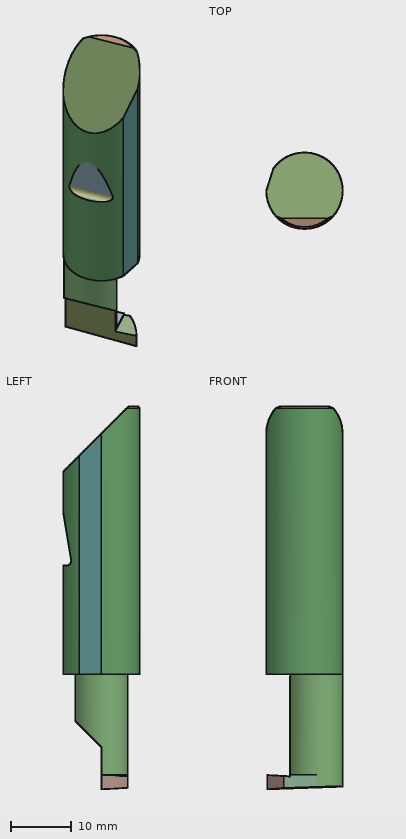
import cadquery as cq
import math

shank_diameter = 12.7
shank_radius = shank_diameter / 2
overall_length = 63.5
shank_bottom_z = 19.05

slope_start_y = -4.53
end_chamfer_size = 0.35

side_flat_end_y = 3.66

notch_bottom_z = 37.1
notch_depth = 1.45
notch_angle = 9.5
notch_corner_radius = 0.75

neck_radius = 4.38
neck_center_x = shank_radius - neck_radius

rake_face_y = 0.0
runout_start_z = 6.95

head_tip_x = -6.2
head_front_corner_x = -3.46
head_top_z = 2.4
head_nose_radius = 12.0
head_step_x = neck_center_x - neck_radius
head_front_y = -neck_radius
bottom_relief_angle = 2.0
top_back_angle = 3.2
top_side_angle = 0.8

overshoot = 5.0


def make_shank():
    shank_length = overall_length - shank_bottom_z
    shank = cq.Workplane("XY", origin=(0, 0, shank_bottom_z)).circle(shank_radius).extrude(shank_length)
    return shank.cut(make_end_chamfer()).cut(make_end_slope()).cut(make_side_flat()).cut(make_notch())


def make_end_chamfer():
    """Ring that bevels the upper rim of the shank."""
    profile = [
        (shank_radius - end_chamfer_size, overall_length),
        (shank_radius, overall_length),
        (shank_radius, overall_length - end_chamfer_size),
    ]
    return cq.Workplane("XZ").polyline(profile).close().revolve(360, (0, 0), (0, 1))


def make_end_slope():
    """Wedge above the 45 degree plane that falls toward +Y."""
    far_y = shank_radius + overshoot
    far_z = overall_length - (far_y - slope_start_y)
    profile = [
        (slope_start_y, overall_length),
        (far_y, overall_length),
        (far_y, far_z),
    ]
    return cq.Workplane("YZ").polyline(profile).close().extrude(shank_radius + overshoot, both=True)


def make_side_flat():
    """Sliver outside the chord between two points of the shank circle."""
    flat_end_angle = math.asin(side_flat_end_y / shank_radius)
    arc_middle = (-shank_radius * math.cos(flat_end_angle / 2), shank_radius * math.sin(flat_end_angle / 2))
    flat_end = (-shank_radius * math.cos(flat_end_angle), side_flat_end_y)
    return (
        cq.Workplane("XY")
        .moveTo(-shank_radius, 0)
        .threePointArc(arc_middle, flat_end)
        .close()
        .extrude(overall_length)
    )


def make_notch():
    """Notch across the +Y side: level floor, rounded corner, slanted wall running out upward."""
    wall_slope = math.tan(math.radians(notch_angle))
    outer_y = shank_radius + overshoot
    inner_y = shank_radius - notch_depth
    profile = [
        (outer_y, notch_bottom_z),
        (inner_y, notch_bottom_z),
        (outer_y, notch_bottom_z + (outer_y - inner_y) / wall_slope),
    ]
    notch = cq.Workplane("YZ").polyline(profile).close().extrude(shank_radius + overshoot, both=True)
    return notch.edges("|X").edges("<Y").fillet(notch_corner_radius)


def make_neck():
    neck = cq.Workplane("XY").center(neck_center_x, 0).circle(neck_radius).extrude(shank_bottom_z)
    far_y = neck_radius + overshoot
    profile = [
        (rake_face_y, -overshoot),
        (far_y, -overshoot),
        (far_y, runout_start_z + far_y - rake_face_y),
        (rake_face_y, runout_start_z),
    ]
    removed_half = (
        cq.Workplane("YZ").polyline(profile).close().extrude(2 * shank_radius + overshoot, both=True)
    )
    return neck.cut(removed_half)


def make_head():
    """Hooked cutting head reaching to -X, with a relieved top on the overhanging part."""
    head = (
        cq.Workplane("XY")
        .moveTo(neck_center_x, rake_face_y)
        .lineTo(head_tip_x, rake_face_y)
        .radiusArc((head_front_corner_x, head_front_y), -head_nose_radius)
        .lineTo(neck_center_x, head_front_y)
        .close()
        .extrude(head_top_z)
    )
    overhang = (
        cq.Workplane("XY", origin=(head_tip_x, 0, head_top_z))
        .box(head_step_x - head_tip_x, shank_diameter, 2 * overshoot, centered=(False, True, True))
    )
    top_relief = make_tip_plane(head_top_z, -top_back_angle, -top_side_angle).extrude(overshoot)
    return head.cut(top_relief.intersect(overhang))


def make_bottom_relief():
    """Block below the part's sloping end face, which rises from the cutting tip toward +X and -Y."""
    return make_tip_plane(0, bottom_relief_angle, bottom_relief_angle).extrude(-overshoot)


def make_tip_plane(tip_z, back_angle, side_angle):
    """Square on a plane rising from the cutting tip: back angle toward +X, side angle toward -Y."""
    back_slope = math.tan(math.radians(back_angle))
    side_slope = math.tan(math.radians(side_angle))
    plane = cq.Plane((head_tip_x, rake_face_y, tip_z), xDir=(1, 0, 0), normal=(-back_slope, side_slope, 1))
    side = 4 * shank_diameter
    return cq.Workplane(plane).rect(side, side)


result = make_shank().union(make_neck()).union(make_head()).cut(make_bottom_relief())